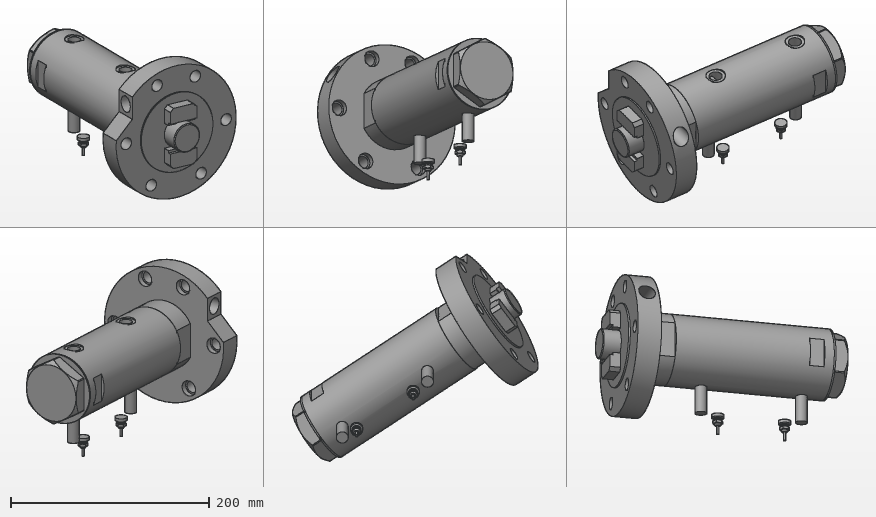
import cadquery as cq
import math


CAP_RIM_X = 14.6
BARREL_START = 16.5
BARREL_END = 181.8
FLANGE_START = 207.0
FLANGE_END = 231.8
DISC_END = 233.5
KEY_END = 245.7
ROD_END = 252.5
CAP_NOSE_END = 42.0
GLAND_START = 137.0

BARREL_RADIUS = 36.5
BORE_RADIUS = 21.5
GLAND_RADIUS = 31.0
PORT_XS = (41.5, GLAND_START)
PORT_RADIUS = 6.5
SPOTFACE_RADIUS = 9.8
SPOTFACE_Z = 35.0
WRENCH_FLAT_X = 26.3
WRENCH_FLAT_LENGTH = 15.2
WRENCH_FLAT_Y = 33.5

HEX_ACROSS_FLATS = 60.0
HEX_CORNER_RADIUS = 34.3
CAP_FACE_RADIUS = 29.8
CAP_CHAMFER_LENGTH = 4.0

FLANGE_RADIUS = 72.0
NECK_FLAT_Y = 31.8
NOTCH_Y = -52.5
NOTCH_CORNER_Z = 25.0
BOLT_CIRCLE_RADIUS = 59.8
BOLT_ANGLES = (0, 67.5, 112.5, 180, 240, 300)
BOLT_HOLE_RADIUS = 6.3
BOLT_SEAT_RADIUS = 8.0
BOLT_SEAT_DEPTH = 6.5
CROSS_HOLE_RADIUS = 8.5
CROSS_HOLE_Z = 37.4

DISC_RADIUS = 43.0

ROD_RADIUS = 15.5
ROD_CHAMFER = 1.0
KEY_CLEARANCE = 0.8
KEY_WIDTH = 31.5
KEY_SPAN = 65.6
KEY_CHAMFER = 3.8
KEY_INNER_Z = 13.6
RECESS_X = 242.1
RECESS_HALF_WIDTH = 16.2

PIN_XS = (40.7, 146.0)
PIN_RADIUS = 6.0
PIN_TOP_Z = -34.0
PIN_BOTTOM_Z = -64.5

CONNECTOR_XS = (58.3, 128.3)
CONNECTOR_BOTTOM_Z = -85.0
HEAD_RADIUS = 6.3
HEAD_BOTTOM_Z = -67.7
COLLAR_RADIUS = 4.5
COLLAR_TOP_Z = -68.5
COLLAR_BOTTOM_Z = -69.2
WAIST_RADIUS = 3.3
NUT_TOP_Z = -70.7
NUT_BOTTOM_Z = -74.2
NUT_CORNER_RADIUS = 5.3
NUT_CHAMFER_RADIUS = 4.3
NUT_CHAMFER_HEIGHT = 0.8
TAPER_RADIUS = 3.8
TAPER_END_RADIUS = 2.5
TAPER_END_Z = -76.3
CABLE_RADIUS = 1.3


def x_cylinder(radius, x_start, x_end):
    return cq.Workplane("YZ").workplane(offset=x_start).circle(radius).extrude(x_end - x_start)


def z_cylinder(radius, x, z_bottom, z_top):
    return cq.Workplane("XY", origin=(x, 0, z_bottom)).circle(radius).extrude(z_top - z_bottom)


def make_cap():
    """Hexagon head with a thin rim against the barrel and a nose that closes the bore."""
    corner_diameter = HEX_ACROSS_FLATS / math.cos(math.pi / 6)
    head = (
        cq.Workplane("YZ")
        .polygon(6, corner_diameter)
        .extrude(CAP_RIM_X)
        .rotate((0, 0, 0), (1, 0, 0), 90)
    )
    chamfer_envelope = (
        cq.Workplane("XY")
        .moveTo(0, 0)
        .lineTo(0, CAP_FACE_RADIUS)
        .lineTo(CAP_CHAMFER_LENGTH, HEX_CORNER_RADIUS)
        .lineTo(CAP_RIM_X, HEX_CORNER_RADIUS)
        .lineTo(CAP_RIM_X, 0)
        .close()
        .revolve(360, (0, 0, 0), (1, 0, 0))
    )
    rim = x_cylinder(BARREL_RADIUS, CAP_RIM_X, BARREL_START)
    nose = x_cylinder(BORE_RADIUS, BARREL_START, CAP_NOSE_END)
    return head.intersect(chamfer_envelope).union(rim).union(nose)


def make_barrel():
    """Stepped-bore tube with two ports on top, two pin sockets below and two wrench flats."""
    barrel = x_cylinder(BARREL_RADIUS, BARREL_START, BARREL_END)
    barrel = barrel.cut(x_cylinder(BORE_RADIUS, BARREL_START, GLAND_START))
    barrel = barrel.cut(x_cylinder(GLAND_RADIUS, GLAND_START, BARREL_END))
    for x in PORT_XS:
        barrel = barrel.cut(z_cylinder(PORT_RADIUS, x, 0, BARREL_RADIUS))
        barrel = barrel.cut(z_cylinder(SPOTFACE_RADIUS, x, SPOTFACE_Z, BARREL_RADIUS))
    for x in PIN_XS:
        barrel = barrel.cut(z_cylinder(PIN_RADIUS, x, -BARREL_RADIUS, PIN_TOP_Z))
    for y_start in (WRENCH_FLAT_Y, -BARREL_RADIUS):
        flat = cq.Workplane("XY").box(
            WRENCH_FLAT_LENGTH,
            BARREL_RADIUS - WRENCH_FLAT_Y,
            2 * BARREL_RADIUS,
            centered=(False, False, True),
        )
        barrel = barrel.cut(flat.translate((WRENCH_FLAT_X, y_start, 0)))
    return barrel


def make_flange():
    """Notched bolt flange with a flatted neck and a gland that enters the barrel."""
    plate = x_cylinder(FLANGE_RADIUS, FLANGE_START, FLANGE_END)

    ramp_run = NOTCH_Y + FLANGE_RADIUS
    notch = (
        cq.Workplane("YZ")
        .workplane(offset=FLANGE_START)
        .polyline(
            [
                (NOTCH_Y, FLANGE_RADIUS),
                (NOTCH_Y, NOTCH_CORNER_Z),
                (-FLANGE_RADIUS, NOTCH_CORNER_Z - ramp_run),
                (-FLANGE_RADIUS, FLANGE_RADIUS),
            ]
        )
        .close()
        .extrude(FLANGE_END - FLANGE_START)
    )
    cross_hole = (
        cq.Workplane("XZ", origin=((FLANGE_START + FLANGE_END) / 2, FLANGE_RADIUS, CROSS_HOLE_Z))
        .circle(CROSS_HOLE_RADIUS)
        .extrude(2 * FLANGE_RADIUS)
    )
    plate = plate.cut(notch).cut(cross_hole)

    for angle in BOLT_ANGLES:
        y = BOLT_CIRCLE_RADIUS * math.cos(math.radians(angle))
        z = BOLT_CIRCLE_RADIUS * math.sin(math.radians(angle))
        hole = x_cylinder(BOLT_HOLE_RADIUS, FLANGE_START, FLANGE_END)
        seat = x_cylinder(BOLT_SEAT_RADIUS, FLANGE_START, FLANGE_START + BOLT_SEAT_DEPTH)
        plate = plate.cut(hole.union(seat).translate((0, y, z)))

    neck = x_cylinder(BARREL_RADIUS, BARREL_END, FLANGE_START).intersect(
        cq.Workplane("XY").box(2 * FLANGE_START, 2 * NECK_FLAT_Y, 2 * BARREL_RADIUS)
    )
    gland = x_cylinder(GLAND_RADIUS, GLAND_START, BARREL_END)
    rod_bore = x_cylinder(ROD_RADIUS, GLAND_START, FLANGE_END)
    return plate.union(neck).union(gland).cut(rod_bore)


def make_disc():
    """Thin centring ring on the end of the flange."""
    disc = x_cylinder(DISC_RADIUS, FLANGE_END, DISC_END)
    return disc.cut(x_cylinder(ROD_RADIUS, FLANGE_END, DISC_END))


def slot_along_y(half_width, x_start):
    return (
        cq.Workplane("XY")
        .box(KEY_END - x_start, KEY_WIDTH, 2 * half_width, centered=(False, True, True))
        .translate((x_start, 0, 0))
    )


def make_rod():
    """Shaft with a key above and below it, just clear of the disc, and a recess at the key tips."""
    shaft = x_cylinder(ROD_RADIUS, CAP_NOSE_END, ROD_END).faces(">X").edges().chamfer(ROD_CHAMFER)
    key_start = DISC_END + KEY_CLEARANCE
    keys = (
        cq.Workplane("YZ")
        .workplane(offset=key_start)
        .rect(KEY_WIDTH, KEY_SPAN)
        .extrude(KEY_END - key_start)
        .edges("|X")
        .chamfer(KEY_CHAMFER)
        .cut(slot_along_y(KEY_INNER_Z, key_start))
        .cut(slot_along_y(RECESS_HALF_WIDTH, RECESS_X))
    )
    return shaft.union(keys)


def make_pin(x):
    """Sensor pin that hangs from a socket in the barrel."""
    return z_cylinder(PIN_RADIUS, x, PIN_BOTTOM_Z, PIN_TOP_Z)


def z_revolve(points):
    return cq.Workplane("XZ").polyline(points).close().revolve(360, (0, 0, 0), (0, 1, 0))


def make_connector(x):
    """Free-hanging connector: head, waist, chamfered hexagon, taper and cable stub."""
    turned = z_revolve(
        [
            (0, PIN_BOTTOM_Z),
            (HEAD_RADIUS, PIN_BOTTOM_Z),
            (HEAD_RADIUS, HEAD_BOTTOM_Z),
            (COLLAR_RADIUS, COLLAR_TOP_Z),
            (COLLAR_RADIUS, COLLAR_BOTTOM_Z),
            (WAIST_RADIUS, COLLAR_BOTTOM_Z),
            (WAIST_RADIUS, NUT_BOTTOM_Z),
            (TAPER_RADIUS, NUT_BOTTOM_Z),
            (TAPER_END_RADIUS, TAPER_END_Z),
            (CABLE_RADIUS, TAPER_END_Z),
            (CABLE_RADIUS, CONNECTOR_BOTTOM_Z),
            (0, CONNECTOR_BOTTOM_Z),
        ]
    )
    nut_envelope = z_revolve(
        [
            (0, NUT_TOP_Z),
            (NUT_CHAMFER_RADIUS, NUT_TOP_Z),
            (NUT_CORNER_RADIUS, NUT_TOP_Z - NUT_CHAMFER_HEIGHT),
            (NUT_CORNER_RADIUS, NUT_BOTTOM_Z + NUT_CHAMFER_HEIGHT),
            (NUT_CHAMFER_RADIUS, NUT_BOTTOM_Z),
            (0, NUT_BOTTOM_Z),
        ]
    )
    nut = (
        cq.Workplane("XY")
        .workplane(offset=NUT_BOTTOM_Z)
        .polygon(6, 2 * NUT_CORNER_RADIUS)
        .extrude(NUT_TOP_Z - NUT_BOTTOM_Z)
        .intersect(nut_envelope)
    )
    return turned.union(nut).translate((x, 0, 0))


cap = make_cap()
barrel = make_barrel()
flange = make_flange()
disc = make_disc()
rod = make_rod()
pins = [make_pin(x).val() for x in PIN_XS]
connectors = [make_connector(x).val() for x in CONNECTOR_XS]

result = cq.Compound.makeCompound(
    [cap.val(), barrel.val(), flange.val(), disc.val(), rod.val(), *pins, *connectors]
)